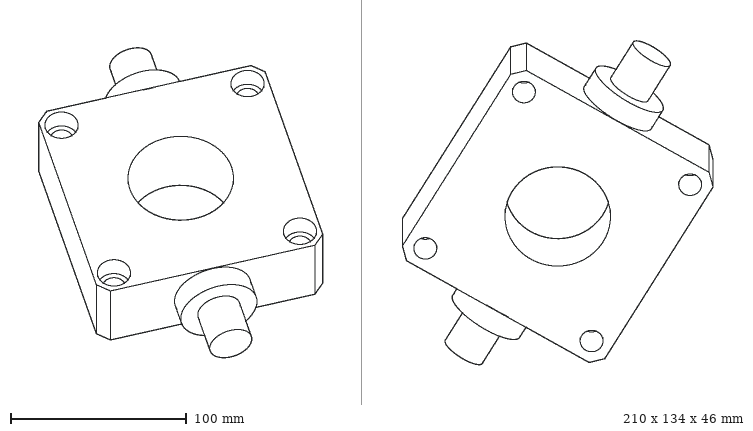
import cadquery as cq

body_side = 134.0
body_height = 46.0
corner_chamfer = 6.5
bore_diameter = 60.0

overall_length = 210.0
collar_diameter = 45.2
collar_length = 13.0
pin_diameter = 25.0

hole_spacing = 110.0
hole_diameter = 13.0
counterbore_diameter = 19.0
counterbore_depth = 13.0


def make_body():
    """Square block with chamfered vertical corners, centred on the origin."""
    block = cq.Workplane("XY").box(body_side, body_side, body_height)
    return block.edges("|Z").chamfer(corner_chamfer)


def cylinder_along_x(diameter, length):
    """Cylinder centred on the origin with its axis along X."""
    return cq.Workplane("YZ").circle(diameter / 2).extrude(length / 2, both=True)


def cut_bore(part):
    return part.faces(">Z").workplane(origin=(0, 0, 0)).hole(bore_diameter)


def cut_corner_holes(part):
    return (
        part.faces(">Z")
        .workplane(origin=(0, 0, 0))
        .rect(hole_spacing, hole_spacing, forConstruction=True)
        .vertices()
        .cboreHole(hole_diameter, counterbore_diameter, counterbore_depth)
    )


collars = cylinder_along_x(collar_diameter, body_side + 2 * collar_length)
pins = cylinder_along_x(pin_diameter, overall_length)

solid_part = make_body().union(collars).union(pins)
result = cut_corner_holes(cut_bore(solid_part))